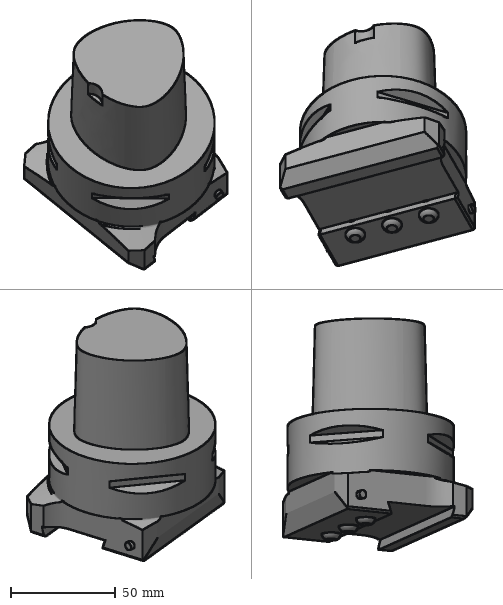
import cadquery as cq
import math

total_height = 100.8
base_bottom = 2.6
collar_bottom = 22.7
collar_top = 52.8
base_height = collar_bottom - base_bottom

collar_radius = 40.0
slot_mid_height = 40.7
slot_floor_half = 1.7
slot_floor_distance = 35.5
slot_spread = 2.6
slot_length = 2 * collar_radius

shank_mean_radius = 27.6
shank_lobe = 1.96
shank_taper = 1 / 40
lobe_half_angle = 33.0
key_radius = 6.5
key_center_y = -28.6
key_depth = 8.3

back_half_width = 35.9
front_half_width = 41.0
back_y = 32.0
back_corner_y = 29.4
back_flat_half_width = 26.8
front_y = -37.0
wing_back_y = -24.0
wing_blend_start_y = -12.5
corner_chamfer_y = 5.8
back_taper_top = 12.3
front_bevel_top = 9.1
front_bevel = front_bevel_top - base_bottom
side_bevel = 1.1
jaw_bevel_y = 0.7

slope_start_radius = 40.7
slope_start_z = 21.7
fillet_mid_radius = 40.2
fillet_mid_z = 22.0
slope_end_radius = 55.1
slope_end_z = 17.5

channel_top = 8.0
channel_back_bottom_y = 5.6
channel_back_top_y = 7.4
channel_front_bottom_y = -23.6
channel_front_top_y = -25.0

button_radius = 4.7
button_tip_radius = 2.5
button_dome_height = 2.4
button_dome_mid_radius = 4.0
button_dome_mid_height = 1.1
button_y = 11.8
button_spacing = 18.9
pin_radius = 2.0
pin_tip_x = 37.8
pin_y = 22.5
pin_z = 10.0
pin_tilt = 12.0
pin_length = 8.1


def lobe_point(angle, mean_radius):
    """Point of a constant-width, three-lobed curve whose normal has the given angle in degrees."""
    normal = math.radians(angle)
    phase = 3 * math.radians(angle - 90)
    support = mean_radius + shank_lobe * math.cos(phase)
    slope = -3 * shank_lobe * math.sin(phase)
    return (
        support * math.cos(normal) - slope * math.sin(normal),
        support * math.sin(normal) + slope * math.cos(normal),
    )


def lobed_wire(plane, mean_radius):
    """Closed outline of three lobes joined by three flatter flanks."""
    spans = []
    for lobe in (90, 210, 330):
        spans.append((lobe - lobe_half_angle, lobe + lobe_half_angle))
        spans.append((lobe + lobe_half_angle, lobe + 120 - lobe_half_angle))
    steps = 8
    outline = plane.moveTo(*lobe_point(spans[0][0], mean_radius))
    for start, end in spans:
        normals = [start + (end - start) * i / steps for i in range(1, steps + 1)]
        points = [lobe_point(angle, mean_radius) for angle in normals]
        end_normals = [math.radians(angle) for angle in (start, end)]
        tangents = [(-math.sin(normal), math.cos(normal)) for normal in end_normals]
        outline = outline.spline(points, tangents=tangents, includeCurrent=True)
    return outline.close()


def make_shank():
    height = total_height - collar_top
    top_radius = shank_mean_radius - height * shank_taper
    bottom = lobed_wire(cq.Workplane("XY").workplane(offset=collar_top), shank_mean_radius)
    shank = lobed_wire(bottom.workplane(offset=height), top_radius).loft(ruled=True)
    key = (
        cq.Workplane("XY")
        .workplane(offset=total_height - key_depth)
        .center(0, key_center_y)
        .circle(key_radius)
        .extrude(key_depth)
    )
    return shank.cut(key)


def make_collar():
    collar = (
        cq.Workplane("XY")
        .workplane(offset=collar_bottom)
        .circle(collar_radius)
        .extrude(collar_top - collar_bottom)
    )
    flare_slope = slot_spread / (collar_radius - slot_floor_distance)
    outer = collar_radius + 1
    outer_half = slot_floor_half + flare_slope * (outer - slot_floor_distance)
    cutter = (
        cq.Workplane("XZ")
        .polyline([
            (slot_floor_distance, slot_mid_height - slot_floor_half),
            (outer, slot_mid_height - outer_half),
            (outer, slot_mid_height + outer_half),
            (slot_floor_distance, slot_mid_height + slot_floor_half),
        ])
        .close()
        .extrude(slot_length / 2, both=True)
    )
    for angle in (45, 135, 225, 315):
        collar = collar.cut(cutter.rotate((0, 0, 0), (0, 0, 1), angle))
    return collar


def make_base_blank():
    """Base outline extruded to full height, with front wings blended by tangent arcs."""
    rise = front_half_width - back_half_width
    run = wing_blend_start_y - wing_back_y
    blend_radius = (rise**2 + run**2) / (2 * rise)
    half_sweep = math.asin(run / blend_radius) / 2
    middle_x = back_half_width + blend_radius * (1 - math.cos(half_sweep))
    middle_y = wing_blend_start_y - blend_radius * math.sin(half_sweep)
    return (
        cq.Workplane("XY")
        .workplane(offset=base_bottom)
        .moveTo(-back_flat_half_width, back_y)
        .lineTo(back_flat_half_width, back_y)
        .lineTo(back_half_width, back_corner_y)
        .lineTo(back_half_width, wing_blend_start_y)
        .threePointArc((middle_x, middle_y), (front_half_width, wing_back_y))
        .lineTo(front_half_width, front_y + corner_chamfer_y)
        .lineTo(back_half_width, front_y)
        .lineTo(-back_half_width, front_y)
        .lineTo(-front_half_width, front_y + corner_chamfer_y)
        .lineTo(-front_half_width, wing_back_y)
        .threePointArc((-middle_x, middle_y), (-back_half_width, wing_blend_start_y))
        .lineTo(-back_half_width, back_corner_y)
        .close()
        .extrude(base_height)
    )


def make_jaw_bevel(side):
    """Wedge that bevels one end of the sloped back wall of the dovetail channel."""

    def corner(workplane, y):
        return workplane.polyline([
            (side * back_half_width, y),
            (side * back_half_width, y + jaw_bevel_y),
            (side * (back_half_width - side_bevel), y),
        ]).close()

    lower = corner(cq.Workplane("XY").workplane(offset=base_bottom), channel_back_bottom_y)
    rise = channel_top - base_bottom
    return corner(lower.workplane(offset=rise), channel_back_top_y).loft(ruled=True)


def make_base():
    side_section = (
        cq.Workplane("YZ")
        .polyline([
            (front_y, collar_bottom),
            (front_y, front_bevel_top),
            (front_y + front_bevel, base_bottom),
            (channel_front_bottom_y, base_bottom),
            (channel_front_top_y, channel_top),
            (channel_back_top_y, channel_top),
            (channel_back_bottom_y, base_bottom),
            (back_corner_y, base_bottom),
            (back_y, back_taper_top),
            (back_y, collar_bottom),
        ])
        .close()
        .extrude(front_half_width, both=True)
    )
    envelope = (
        cq.Workplane("XZ")
        .moveTo(0, base_bottom)
        .lineTo(slope_end_radius, base_bottom)
        .lineTo(slope_end_radius, slope_end_z)
        .lineTo(slope_start_radius, slope_start_z)
        .threePointArc((fillet_mid_radius, fillet_mid_z), (collar_radius, collar_bottom))
        .lineTo(0, collar_bottom)
        .close()
        .revolve(360, (0, 0, 0), (0, 1, 0))
    )
    base = make_base_blank().intersect(side_section).intersect(envelope)
    for side in (-1, 1):
        for half_width, y_start, y_end in (
            (front_half_width, front_y, channel_front_bottom_y),
            (back_half_width, channel_back_bottom_y, back_y),
        ):
            bevel = (
                cq.Workplane("XZ", origin=(0, y_start, 0))
                .polyline([
                    (side * half_width, base_bottom),
                    (side * half_width, base_bottom + side_bevel),
                    (side * (half_width - side_bevel), base_bottom),
                ])
                .close()
                .extrude(y_start - y_end)
            )
            base = base.cut(bevel).cut(make_jaw_bevel(side))
    return base


def make_button(x):
    button = (
        cq.Workplane("XZ")
        .lineTo(button_tip_radius, 0)
        .threePointArc(
            (button_dome_mid_radius, button_dome_mid_height),
            (button_radius, button_dome_height),
        )
        .lineTo(button_radius, channel_top)
        .lineTo(0, channel_top)
        .close()
        .revolve(360, (0, 0, 0), (0, 1, 0))
    )
    return button.translate((x, button_y, 0))


def make_pin(side):
    tilt = math.radians(pin_tilt)
    inward = cq.Vector(-side * math.cos(tilt), math.sin(tilt), 0)
    tip = cq.Vector(side * pin_tip_x, pin_y, pin_z)
    return cq.Workplane(cq.Solid.makeCylinder(pin_radius, pin_length, tip, inward))


result = make_base().union(make_collar()).union(make_shank())
for button_x in (-button_spacing, 0, button_spacing):
    result = result.union(make_button(button_x))
for pin_side in (-1, 1):
    result = result.union(make_pin(pin_side))